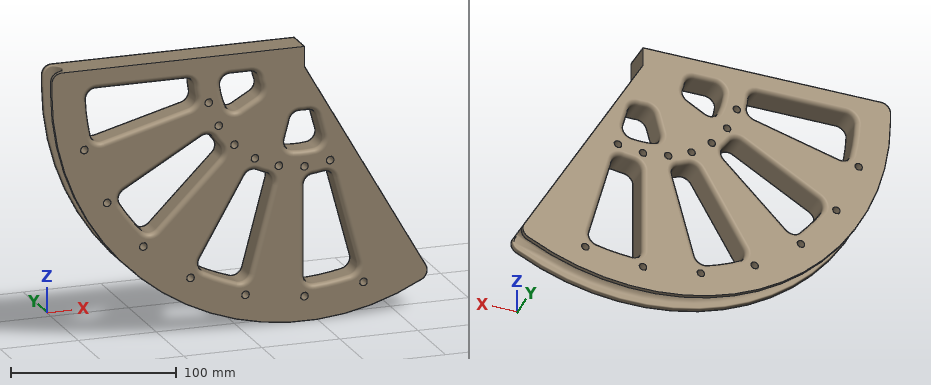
import cadquery as cq
import math

INCH = 25.4

thickness = 0.75 * INCH
rim_radius = 6.375 * INCH
top_height = 0.5 * INCH
start_angle = -180
end_angle = -60
corner_radius = 0.25 * INCH

groove_radius = 0.25 * INCH
groove_centre_radius = rim_radius - groove_radius / 2
groove_lip_round = INCH / 32
groove_sweep = 180

spoke_pitch = 15
outer_window_inner_radius = 2.75 * INCH
outer_window_outer_radius = 5.5 * INCH
outer_window_starts = [-180, -150, -120, -90]
inner_window_inner_radius = 1.125 * INCH
inner_window_outer_radius = 2.125 * INCH
inner_window_starts = [-180, -105]
window_corner_radius = 0.25 * INCH
window_edge_round = 0.125 * INCH

hole_diameter = 0.1875 * INCH
hole_ring_radii = [2.5 * INCH, 5.75 * INCH]
hole_count = 7
first_hole_angle = -165


def polar(radius, angle):
    """Point in the XZ plane at a radius and an angle in degrees from +X."""
    return (radius * math.cos(math.radians(angle)), radius * math.sin(math.radians(angle)))


def extrude_full_thickness(sketch):
    """Extrude an XZ sketch through the plate, centred on Y = 0."""
    return sketch.extrude(thickness / 2, both=True)


def make_plate():
    """Sector below the rim centre with a straight strip above it, its two outer corners rounded."""
    middle_angle = (start_angle + end_angle) / 2
    outline = (
        cq.Workplane("XZ")
        .moveTo(0, 0)
        .lineTo(0, top_height)
        .lineTo(-rim_radius, top_height)
        .lineTo(-rim_radius, 0)
        .threePointArc(polar(rim_radius, middle_angle), polar(rim_radius, end_angle))
        .close()
    )
    plate = extrude_full_thickness(outline)
    for corner_x, corner_z in [(-rim_radius, top_height), polar(rim_radius, end_angle)]:
        corner = plate.edges(cq.selectors.NearestToPointSelector((corner_x, 0, corner_z)))
        plate = corner.fillet(corner_radius)
    return plate


def make_window(inner_radius, outer_radius, first_side, sweep_angle):
    """Cutter for one window, with rounded corners."""
    middle = first_side + sweep_angle / 2
    second_side = first_side + sweep_angle
    outline = (
        cq.Workplane("XZ")
        .moveTo(*polar(inner_radius, first_side))
        .lineTo(*polar(outer_radius, first_side))
        .threePointArc(polar(outer_radius, middle), polar(outer_radius, second_side))
        .lineTo(*polar(inner_radius, second_side))
        .threePointArc(polar(inner_radius, middle), polar(inner_radius, first_side))
        .close()
    )
    return extrude_full_thickness(outline).edges("|Y").fillet(window_corner_radius)


def cut_windows(plate):
    """Cut all windows and round their edges on both faces."""
    for start in outer_window_starts:
        window = make_window(outer_window_inner_radius, outer_window_outer_radius, start, spoke_pitch)
        plate = plate.cut(window)
    for start in inner_window_starts:
        window = make_window(inner_window_inner_radius, inner_window_outer_radius, start, 2 * spoke_pitch)
        plate = plate.cut(window)
    window_edges = []
    for face in plate.faces("<Y or >Y").vals():
        for wire in face.innerWires():
            window_edges.extend(wire.Edges())
    return plate.newObject(window_edges).fillet(window_edge_round)


def cut_holes(plate):
    """Drill both rings of holes."""
    points = []
    for ring_radius in hole_ring_radii:
        for index in range(hole_count):
            points.append(polar(ring_radius, first_hole_angle + index * spoke_pitch))
    holes = cq.Workplane("XZ").pushPoints(points).circle(hole_diameter / 2)
    return plate.cut(extrude_full_thickness(holes))


def groove_profile():
    """U-shaped groove section in the XY plane, open towards -X past the rim."""
    open_x = -(rim_radius + groove_radius)
    return (
        cq.Workplane("XY")
        .moveTo(open_x, groove_radius)
        .lineTo(-groove_centre_radius, groove_radius)
        .threePointArc((-groove_centre_radius + groove_radius, 0), (-groove_centre_radius, -groove_radius))
        .lineTo(open_x, -groove_radius)
        .close()
    )


def cut_groove(plate):
    """Groove follows the rim, then runs straight up the left end."""
    straight = groove_profile().extrude(top_height)
    around = groove_profile().revolve(groove_sweep, (0, 0, 0), (0, -1, 0))
    return plate.cut(straight).cut(around)


def round_groove_lips(plate):
    """Round the closed loop of tangent edges where the groove breaks out, starting from its left end."""
    groove_end = (-groove_centre_radius + groove_radius, 0, top_height)
    lip = plate.edges(cq.selectors.NearestToPointSelector(groove_end))
    return lip.fillet(groove_lip_round)


plate_with_windows = cut_windows(make_plate())
drilled_plate = cut_holes(plate_with_windows)
result = round_groove_lips(cut_groove(drilled_plate))